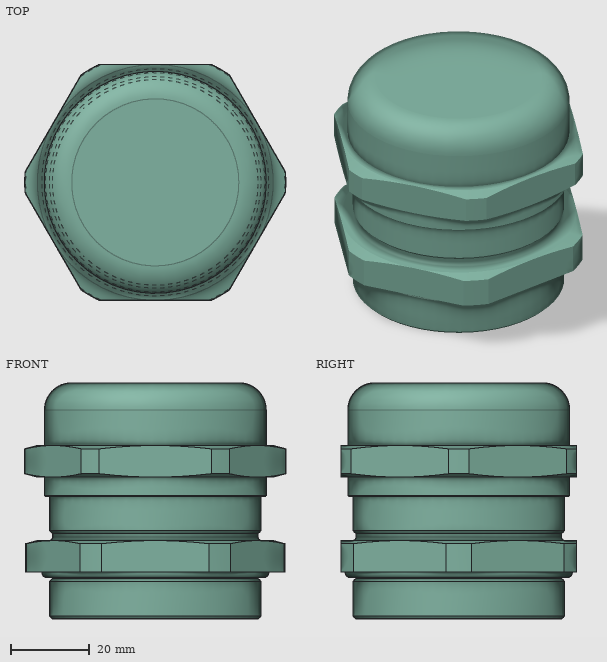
import cadquery as cq
import math

total_height = 60.1
hex_across_flats = 60.0

cap_diameter = 56.5
thread_diameter = 53.85
neck_diameter = 52.3
flange_diameter = 57.85

lower_thread_top = 10.3
flange_bottom = 10.5
lower_hex_bottom = 11.9
lower_hex_top = 19.95
upper_thread_bottom = 21.75
cap_bottom = 31.1
upper_hex_bottom = 36.1
upper_hex_top = 44.15

cap_fillet = 7.0
cap_bottom_chamfer = 0.3
thread_chamfer = 0.7
neck_fillet = 0.9

upper_hex_corner_diameter = 66.5
lower_hex_corner_diameter = 65.95
hex_bevel_angle = 15.0


def cylinder(diameter, bottom, top):
    """Upright cylinder on the part axis between two heights."""
    return cq.Workplane("XY").workplane(offset=bottom).circle(diameter / 2).extrude(top - bottom)


def turned_hexagon(corner_diameter, bottom, top, bevel_bottom):
    """Hexagon with flats facing Y, rounded corners and bevelled end faces."""
    across_corners = hex_across_flats / math.cos(math.radians(30))
    hexagon = (
        cq.Workplane("XY")
        .workplane(offset=bottom)
        .polygon(6, across_corners)
        .extrude(top - bottom)
    )
    face_radius = hex_across_flats / 2
    corner_radius = corner_diameter / 2
    bevel_height = (corner_radius - face_radius) * math.tan(math.radians(hex_bevel_angle))
    profile = cq.Workplane("XZ").moveTo(0, bottom)
    if bevel_bottom:
        profile = profile.lineTo(face_radius, bottom).lineTo(corner_radius, bottom + bevel_height)
    else:
        profile = profile.lineTo(corner_radius, bottom)
    envelope = (
        profile.lineTo(corner_radius, top - bevel_height)
        .lineTo(face_radius, top)
        .lineTo(0, top)
        .close()
        .revolve(360, (0, 0, 0), (0, 1, 0))
    )
    return hexagon.intersect(envelope)


def neck_flare():
    """Neck that widens in a concave fillet onto the lower hexagon."""
    neck_radius = neck_diameter / 2
    arc_offset = neck_fillet * (1 - math.sqrt(0.5))
    return (
        cq.Workplane("XZ")
        .moveTo(0, lower_hex_top)
        .lineTo(neck_radius + neck_fillet, lower_hex_top)
        .threePointArc(
            (neck_radius + arc_offset, lower_hex_top + arc_offset),
            (neck_radius, lower_hex_top + neck_fillet),
        )
        .lineTo(neck_radius, upper_thread_bottom)
        .lineTo(0, upper_thread_bottom)
        .close()
        .revolve(360, (0, 0, 0), (0, 1, 0))
    )


def rounded_flange():
    """Flange whose whole rim is a quarter round narrowing downwards."""
    rim_radius = lower_hex_bottom - flange_bottom
    outer_radius = flange_diameter / 2
    arc_offset = rim_radius * (1 - math.sqrt(0.5))
    return (
        cq.Workplane("XZ")
        .moveTo(0, flange_bottom)
        .lineTo(outer_radius - rim_radius, flange_bottom)
        .threePointArc(
            (outer_radius - arc_offset, flange_bottom + arc_offset),
            (outer_radius, lower_hex_bottom),
        )
        .lineTo(0, lower_hex_bottom)
        .close()
        .revolve(360, (0, 0, 0), (0, 1, 0))
    )


lower_thread = cylinder(thread_diameter, 0, lower_thread_top).faces("<Z or >Z").chamfer(thread_chamfer)
core = cylinder(thread_diameter - 2 * thread_chamfer, 0, lower_hex_top)

flange = rounded_flange()

lower_hex = turned_hexagon(lower_hex_corner_diameter, lower_hex_bottom, lower_hex_top, False)
upper_hex = turned_hexagon(upper_hex_corner_diameter, upper_hex_bottom, upper_hex_top, True)

upper_thread = cylinder(thread_diameter, upper_thread_bottom, cap_bottom).faces("<Z").chamfer(thread_chamfer)
cap = (
    cylinder(cap_diameter, cap_bottom, total_height)
    .faces(">Z")
    .edges()
    .fillet(cap_fillet)
    .faces("<Z")
    .chamfer(cap_bottom_chamfer)
)

result = lower_thread
for section in (core, flange, lower_hex, neck_flare(), upper_thread, cap, upper_hex):
    result = result.union(section)